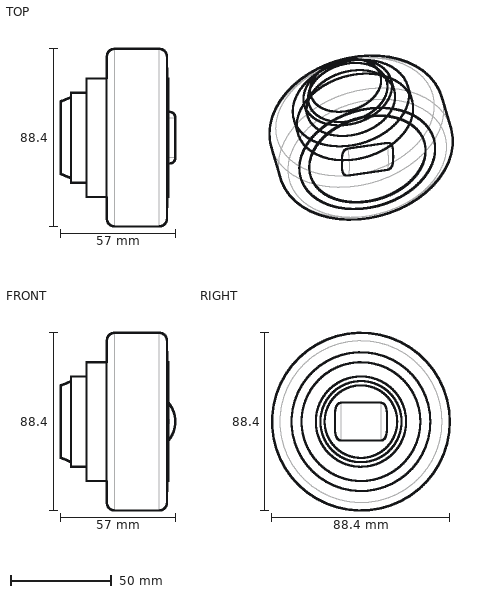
import cadquery as cq

taper_end = 5.1
collar_end = 12.8
roller_start = 22.9
roller_width = 30.0
side_disc_step = 0.3
hub_step = 0.7
total_length = 57.0

tip_radius = 18.0
taper_radius = 20.15
collar_radius = 22.45
hub_radius = 29.5
side_disc_radius = 34.5
roller_radius = 44.2
roller_edge_radius = 4.0

key_radius = 14.5
key_length = 25.8
key_edge_radius = 3.0

roller_end = roller_start + roller_width


def disc(start, end, radius):
    """Solid cylinder on the X axis between two stations."""
    return cq.Workplane("YZ", origin=(start, 0, 0)).circle(radius).extrude(end - start)


def tapered_tip():
    """Cone frustum that widens from the tip towards the collar."""
    return (
        cq.Workplane("XY")
        .polyline([(0, 0), (0, tip_radius), (taper_end, taper_radius), (taper_end, 0)])
        .close()
        .revolve(360, (0, 0, 0), (1, 0, 0))
    )


def roller():
    """Wide wheel with both rims rounded."""
    return disc(roller_start, roller_end, roller_radius).edges("%CIRCLE").fillet(roller_edge_radius)


def key():
    """Cylinder with rounded ends whose crown sets the total length."""
    return (
        cq.Workplane("XZ", origin=(total_length - key_radius, 0, 0))
        .circle(key_radius)
        .extrude(key_length / 2, both=True)
        .edges("%CIRCLE")
        .fillet(key_edge_radius)
    )


result = (
    tapered_tip()
    .union(disc(taper_end, collar_end, collar_radius))
    .union(disc(collar_end, roller_end + hub_step, hub_radius))
    .union(roller())
    .union(disc(roller_start + roller_edge_radius, roller_end + side_disc_step, side_disc_radius))
    .union(key())
)